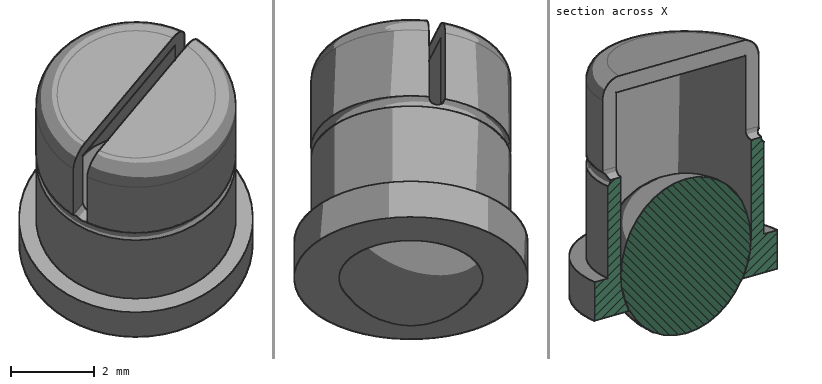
import cadquery as cq
import math

housing_height = 6.0
flange_radius = 2.795
flange_thickness = 1.0
barrel_radius = 2.39
top_rounding = 0.5

slot_width = 0.4
slot_floor_z = 3.5

groove_height = 0.29
groove_depth = 0.085

ball_radius = 1.985
ball_protrusion = 0.99
ball_center_z = ball_radius - ball_protrusion
mouth_radius = math.sqrt(ball_radius**2 - ball_center_z**2)

bore_radius = ball_radius
wall = barrel_radius - bore_radius
bore_top_z = housing_height - wall


def make_blank():
    """Flange and barrel, hollowed by a bore that ends below in a spherical seat."""
    seat_angle = math.asin(ball_center_z / ball_radius) / 2
    seat_mid = (
        ball_radius * math.cos(seat_angle),
        ball_center_z - ball_radius * math.sin(seat_angle),
    )
    corner_center_r = barrel_radius - top_rounding
    corner_center_z = housing_height - top_rounding
    corner_mid = (
        corner_center_r + top_rounding * math.cos(math.pi / 4),
        corner_center_z + top_rounding * math.sin(math.pi / 4),
    )
    groove_bottom_z = slot_floor_z - groove_height / 2
    groove_top_z = slot_floor_z + groove_height / 2
    return (
        cq.Workplane("XZ")
        .moveTo(mouth_radius, 0)
        .lineTo(flange_radius, 0)
        .lineTo(flange_radius, flange_thickness)
        .lineTo(barrel_radius, flange_thickness)
        .lineTo(barrel_radius, groove_bottom_z)
        .threePointArc((barrel_radius - groove_depth, slot_floor_z), (barrel_radius, groove_top_z))
        .lineTo(barrel_radius, corner_center_z)
        .threePointArc(corner_mid, (corner_center_r, housing_height))
        .lineTo(0, housing_height)
        .lineTo(0, bore_top_z)
        .lineTo(bore_radius, bore_top_z)
        .lineTo(bore_radius, ball_center_z)
        .threePointArc(seat_mid, (mouth_radius, 0))
        .close()
        .revolve(360, (0, 0), (0, 1))
    )


def make_slot_cutter():
    """Round-bottomed slot running right across the barrel and out through its top."""
    half_width = slot_width / 2
    round_start_z = slot_floor_z + half_width
    return (
        cq.Workplane("XZ")
        .moveTo(-half_width, housing_height)
        .lineTo(-half_width, round_start_z)
        .threePointArc((0, slot_floor_z), (half_width, round_start_z))
        .lineTo(half_width, housing_height)
        .close()
        .extrude(barrel_radius, both=True)
    )


def make_ball():
    return cq.Workplane("XY").sphere(ball_radius).translate((0, 0, ball_center_z))


housing = make_blank().cut(make_slot_cutter())
ball = make_ball()

result = cq.Compound.makeCompound([housing.val(), ball.val()])